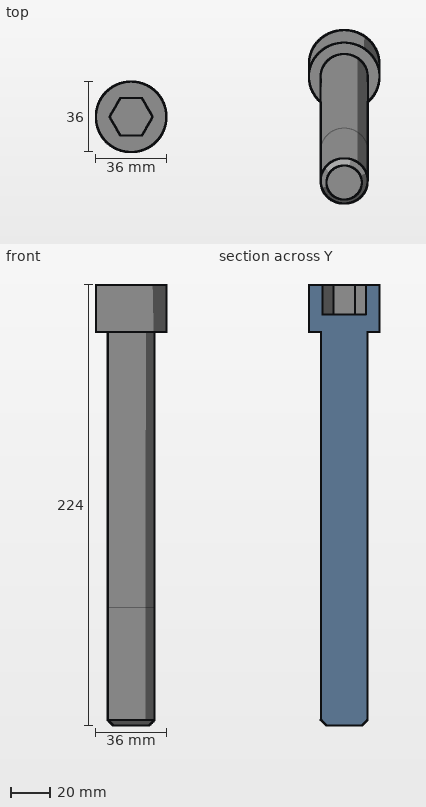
import cadquery as cq
import math

thread_diameter = 24.0
shank_length = 200.0
thread_length = 60.0

head_diameter = 1.5 * thread_diameter
head_height = thread_diameter

socket_across_flats = 19.0
socket_across_corners = socket_across_flats / math.cos(math.radians(30))
socket_depth = 15.0

tip_chamfer_radial = 3.0
tip_chamfer_height = 3.0


def make_head():
    """Cylindrical head standing on the seating plane Z = 0."""
    return cq.Workplane("XY").circle(head_diameter / 2).extrude(head_height)


def make_plain_shank():
    """Unthreaded shank, from the seating plane down to the thread."""
    plain_length = shank_length - thread_length
    return cq.Workplane("XY").circle(thread_diameter / 2).extrude(-plain_length)


def make_threaded_end():
    """Threaded length as a smooth cylinder with a chamfered tip."""
    return (
        cq.Workplane("XY", origin=(0, 0, -shank_length))
        .circle(thread_diameter / 2)
        .extrude(thread_length)
        .faces("<Z")
        .chamfer(tip_chamfer_height, tip_chamfer_radial)
    )


def make_socket():
    """Hexagonal drive socket, with two corners on the X axis."""
    return (
        cq.Workplane("XY", origin=(0, 0, head_height))
        .polygon(6, socket_across_corners)
        .extrude(-socket_depth)
    )


result = make_head().union(make_plain_shank()).union(make_threaded_end()).cut(make_socket())